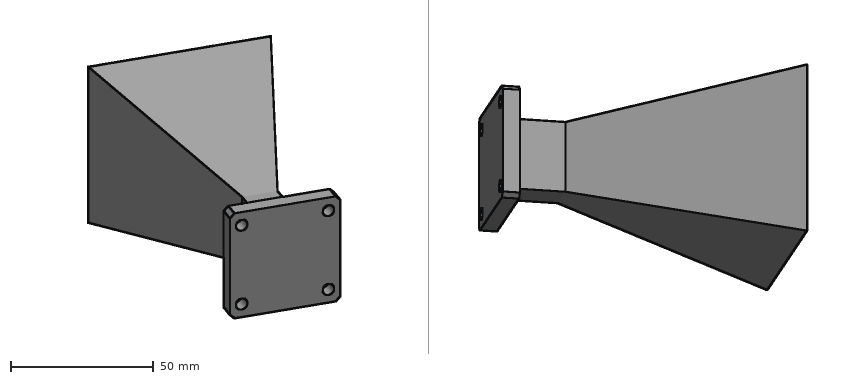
import cadquery as cq

total_length = 106.7
flange_thickness = 6.2
neck_length = 19.2
rim_depth = 0.4

mouth_width = 68.5
mouth_height = 61.5
rim_inset = 0.5
neck_width = 13.3
neck_height = 25.8

flange_side = 41.4
corner_chamfer = 1.7
hole_spacing_y = 32.5
hole_spacing_z = 31.0
hole_diameter = 4.3

flange_start = total_length - flange_thickness
neck_start = flange_start - neck_length


def tapered_block(start_x, start_size, end_x, end_size):
    """Loft between two centred rectangles, each given as (Y width, Z height)."""
    return (
        cq.Workplane("YZ", origin=(start_x, 0, 0))
        .rect(*start_size)
        .workplane(offset=end_x - start_x)
        .rect(*end_size)
        .loft(ruled=True, combine=True)
    )


def bevelled_rim():
    face_size = (mouth_width - 2 * rim_inset, mouth_height - 2 * rim_inset)
    return tapered_block(0, face_size, rim_depth, (mouth_width, mouth_height))


def flared_horn():
    return tapered_block(
        rim_depth, (mouth_width, mouth_height), neck_start, (neck_width, neck_height)
    )


def neck():
    return (
        cq.Workplane("YZ", origin=(neck_start, 0, 0))
        .rect(neck_width, neck_height)
        .extrude(neck_length)
    )


def flange():
    plate = (
        cq.Workplane("YZ", origin=(flange_start, 0, 0))
        .rect(flange_side, flange_side)
        .extrude(flange_thickness)
        .edges("|X")
        .chamfer(corner_chamfer)
    )
    holes = (
        cq.Workplane("YZ", origin=(flange_start, 0, 0))
        .rect(hole_spacing_y, hole_spacing_z, forConstruction=True)
        .vertices()
        .circle(hole_diameter / 2)
        .extrude(flange_thickness)
    )
    return plate.cut(holes)


result = bevelled_rim().union(flared_horn()).union(neck()).union(flange())